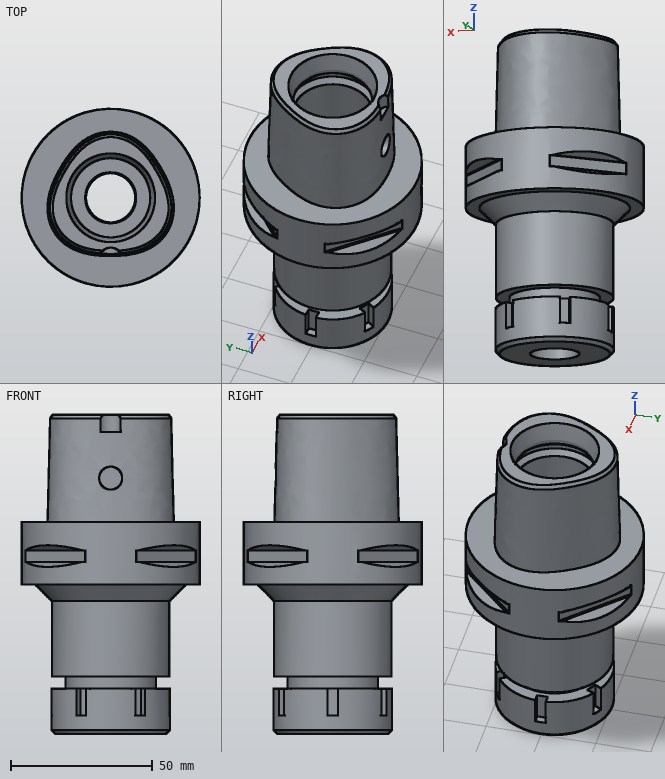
import cadquery as cq
import math

NUT_TOP = 16.0
SHANK_BOTTOM = 20.3
CONE_BOTTOM = 47.0
FLANGE_BOTTOM = 52.9
FLANGE_TOP = 75.0
TOP = 113.0

FLANGE_RADIUS = 31.5
SHANK_RADIUS = 20.8
NECK_RADIUS = 16.0
CONE_TOP_RADIUS = SHANK_RADIUS + (FLANGE_BOTTOM - CONE_BOTTOM)

TAPER_BASE_RADIUS = 22.0
LOBE_HEIGHT = 1.4
OUTLINE_POINTS = 48
TAPER_SLOPE = 1 / 40
RIM_CHAMFER_HEIGHT = 1.4
RIM_CHAMFER_WIDTH = 1.0

MOUTH_RADIUS = 15.7
BORE_RADIUS = 14.0
MOUTH_BOTTOM = 106.7
LIP_BOTTOM = 105.1
UNDERCUT_RADIUS = 15.9
UNDERCUT_CHAMFER = UNDERCUT_RADIUS - BORE_RADIUS
UNDERCUT_BOTTOM = 99.4
BORE_BOTTOM = FLANGE_TOP
CHANNEL_RADIUS = 9.0

KEYWAY_RADIUS = 4.1
KEYWAY_CENTRE_Y = -21.7
KEYWAY_BOTTOM = 106.8
SIDE_HOLE_RADIUS = 4.1
SIDE_HOLE_Z = 90.5
SIDE_HOLE_END_Y = -14.7

GROOVE_COUNT = 4
GROOVE_LENGTH = 29.8
GROOVE_FLOOR_DISTANCE = 27.6
GROOVE_FLARE_DISTANCE = 28.2
GROOVE_FLOOR_HEIGHT = 4.1
GROOVE_MOUTH_HEIGHT = 7.7
GROOVE_Z = 62.9

NUT_RADIUS = 21.0
NUT_CHAMFER = 1.5
NUT_OPENING_RADIUS = 8.7
NUT_RECESS_BOTTOM = 4.5
NUT_SLOT_COUNT = 6
NUT_SLOT_WIDTH = 3.8
NUT_SLOT_BOTTOM = 6.5
NUT_SLOT_FLOOR_DISTANCE = 18.1


def cylinder(radius, bottom, top):
    return cq.Workplane("XY").workplane(offset=bottom).circle(radius).extrude(top - bottom)


def lobed_outline(radius, height):
    """Closed three-lobed curve at a height, with one lobe pointing to +Y."""

    def point(t):
        angle = 2 * math.pi * t
        reach = radius - LOBE_HEIGHT * math.sin(3 * angle)
        return cq.Vector(reach * math.cos(angle), reach * math.sin(angle), height)

    points = [point(i / OUTLINE_POINTS) for i in range(OUTLINE_POINTS)]
    return cq.Wire.assembleEdges([cq.Edge.makeSpline(points, periodic=True)])


def make_taper():
    chamfer_bottom = TOP - RIM_CHAMFER_HEIGHT
    chamfer_radius = TAPER_BASE_RADIUS - TAPER_SLOPE * (chamfer_bottom - FLANGE_TOP)
    base = lobed_outline(TAPER_BASE_RADIUS, FLANGE_TOP)
    shoulder = lobed_outline(chamfer_radius, chamfer_bottom)
    rim = lobed_outline(chamfer_radius - RIM_CHAMFER_WIDTH, TOP)
    return cq.Workplane(cq.Solid.makeLoft([base, shoulder, rim], True))


def make_turned_body():
    profile = [
        (0, NUT_RECESS_BOTTOM),
        (NECK_RADIUS, NUT_RECESS_BOTTOM),
        (NECK_RADIUS, SHANK_BOTTOM),
        (SHANK_RADIUS, SHANK_BOTTOM),
        (SHANK_RADIUS, CONE_BOTTOM),
        (CONE_TOP_RADIUS, FLANGE_BOTTOM),
        (FLANGE_RADIUS, FLANGE_BOTTOM),
        (FLANGE_RADIUS, FLANGE_TOP),
        (0, FLANGE_TOP),
    ]
    return cq.Workplane("XZ").polyline(profile).close().revolve(360, (0, 0), (0, 1))


def make_bore():
    profile = [
        (0, NUT_RECESS_BOTTOM),
        (CHANNEL_RADIUS, NUT_RECESS_BOTTOM),
        (CHANNEL_RADIUS, BORE_BOTTOM),
        (BORE_RADIUS, BORE_BOTTOM),
        (BORE_RADIUS, UNDERCUT_BOTTOM),
        (UNDERCUT_RADIUS, UNDERCUT_BOTTOM + UNDERCUT_CHAMFER),
        (UNDERCUT_RADIUS, LIP_BOTTOM - UNDERCUT_CHAMFER),
        (BORE_RADIUS, LIP_BOTTOM),
        (BORE_RADIUS, MOUTH_BOTTOM),
        (MOUTH_RADIUS, TOP),
        (0, TOP),
    ]
    return cq.Workplane("XZ").polyline(profile).close().revolve(360, (0, 0), (0, 1))


def make_keyway():
    return cylinder(KEYWAY_RADIUS, KEYWAY_BOTTOM, TOP).translate((0, KEYWAY_CENTRE_Y, 0))


def make_side_hole():
    start = cq.Workplane("XZ", origin=(0, SIDE_HOLE_END_Y, SIDE_HOLE_Z))
    return start.circle(SIDE_HOLE_RADIUS).extrude(FLANGE_RADIUS + SIDE_HOLE_END_Y)


def make_gripper_groove(angle):
    """Straight channel with square ends and a mouth that flares up to the flange surface."""
    floor_half = GROOVE_FLOOR_HEIGHT / 2
    mouth_half = GROOVE_MOUTH_HEIGHT / 2
    profile = [
        (GROOVE_FLOOR_DISTANCE, GROOVE_Z - floor_half),
        (GROOVE_FLARE_DISTANCE, GROOVE_Z - floor_half),
        (FLANGE_RADIUS, GROOVE_Z - mouth_half),
        (FLANGE_RADIUS, GROOVE_Z + mouth_half),
        (GROOVE_FLARE_DISTANCE, GROOVE_Z + floor_half),
        (GROOVE_FLOOR_DISTANCE, GROOVE_Z + floor_half),
    ]
    groove = cq.Workplane("XZ").polyline(profile).close().extrude(GROOVE_LENGTH / 2, both=True)
    return groove.rotate((0, 0, 0), (0, 0, 1), angle)


def make_holder():
    holder = make_turned_body().union(make_taper())
    holder = holder.cut(make_bore()).cut(make_keyway()).cut(make_side_hole())
    step = 360 / GROOVE_COUNT
    for i in range(GROOVE_COUNT):
        holder = holder.cut(make_gripper_groove((i + 0.5) * step))
    return holder


def make_nut_slot(angle):
    slot = (
        cq.Workplane("XY")
        .box(NUT_RADIUS, NUT_SLOT_WIDTH, NUT_TOP - NUT_SLOT_BOTTOM, centered=(False, True, False))
        .translate((NUT_SLOT_FLOOR_DISTANCE, 0, NUT_SLOT_BOTTOM))
    )
    return slot.rotate((0, 0, 0), (0, 0, 1), angle)


def make_nut():
    nut = cylinder(NUT_RADIUS, 0, NUT_TOP).faces("<Z").chamfer(NUT_CHAMFER)
    nut = nut.cut(cylinder(NUT_OPENING_RADIUS, 0, NUT_TOP))
    nut = nut.cut(cylinder(NECK_RADIUS, NUT_RECESS_BOTTOM, NUT_TOP))
    step = 360 / NUT_SLOT_COUNT
    for i in range(NUT_SLOT_COUNT):
        nut = nut.cut(make_nut_slot(i * step))
    return nut


holder = make_holder()
clamping_nut = make_nut()

result = cq.Compound.makeCompound([holder.val(), clamping_nut.val()])